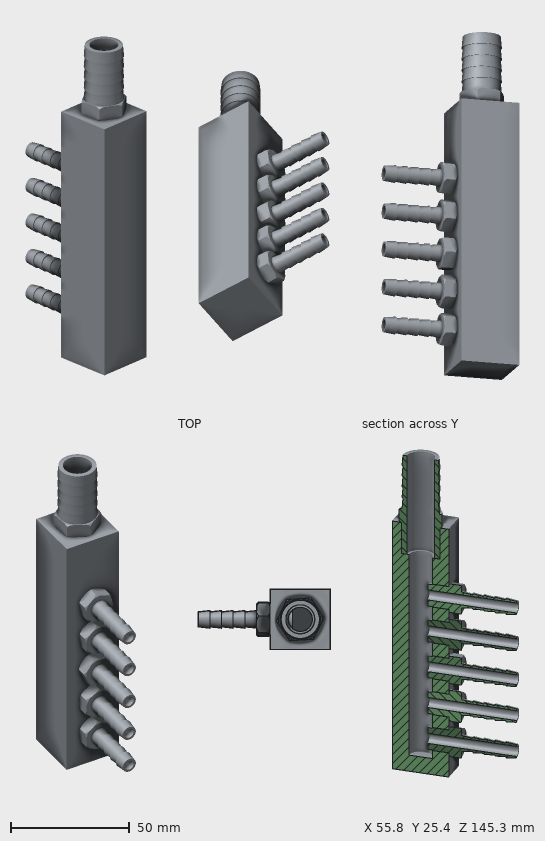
import cadquery as cq
import math

block_width = 25.4
block_height = 114.3
main_bore_radius = 5.08
floor_thickness = block_width / 2 - main_bore_radius

port_count = 5
port_pitch = 16.51
first_port_height = port_pitch

outlet_hex_angles = [5.5, -1.5, 23.0, 8.0, 11.5]
inlet_hex_angle = 3.5

barb_count = 5

outlet_length = 30.35
outlet_hex_flats = 12.7
outlet_hex_height = 5.7
outlet_tip_radius = 3.2
outlet_ridge_radius = 3.75
outlet_bore_radius = 2.2
outlet_shank_radius = 5.15
outlet_shank_length = 9.5

inlet_length = 30.99
inlet_hex_flats = 17.46
inlet_hex_height = 6.3
inlet_tip_radius = 8.05
inlet_ridge_radius = 8.5
inlet_bore_radius = 6.13
inlet_shank_radius = 8.55
inlet_shank_length = 14.3

hex_chamfer_width = 0.8
hex_chamfer_height = 0.8


def disc(radius, bottom, height):
    """Cylinder on the Z axis."""
    return cq.Workplane("XY").workplane(offset=bottom).circle(radius).extrude(height)


def hex_nut(flats, height, angle):
    """Hex on Z = 0 with a corner on +X before turning, corners chamfered at both ends."""
    corner_diameter = flats / math.cos(math.pi / 6)
    prism = cq.Workplane("XY").polygon(6, corner_diameter).extrude(height)
    outer = corner_diameter / 2
    inner = outer - hex_chamfer_width
    envelope = (
        cq.Workplane("XZ")
        .polyline([
            (0, 0),
            (inner, 0),
            (outer, hex_chamfer_height),
            (outer, height - hex_chamfer_height),
            (inner, height),
            (0, height),
        ])
        .close()
        .revolve(360, (0, 0, 0), (0, 1, 0))
    )
    return prism.intersect(envelope).rotate((0, 0, 0), (0, 0, 1), angle)


def hose_barb(tip_radius, ridge_radius, bottom, top):
    """Stack of rings, each tapering from a ridge below to the tip radius above."""
    ring_height = (top - bottom) / barb_count
    points = [(0, bottom)]
    for ring in range(barb_count):
        ring_bottom = bottom + ring * ring_height
        points.append((ridge_radius, ring_bottom))
        points.append((tip_radius, ring_bottom + ring_height))
    points.append((0, top))
    return cq.Workplane("XZ").polyline(points).close().revolve(360, (0, 0, 0), (0, 1, 0))


def fitting(length, flats, hex_height, hex_angle, tip_radius, ridge_radius,
            bore_radius, shank_radius, shank_length):
    """Hose fitting along +Z: hex seated on Z = 0, barb above it, shank below it."""
    solid = hex_nut(flats, hex_height, hex_angle)
    solid = solid.union(hose_barb(tip_radius, ridge_radius, hex_height, length))
    solid = solid.union(disc(shank_radius, -shank_length, shank_length))
    return solid.cut(disc(bore_radius, -shank_length, shank_length + length))


def place_at_port(shape, port):
    """Turn a shape built along +Z to point along -X and seat it at a port."""
    height = first_port_height + port * port_pitch
    return shape.rotate((0, 0, 0), (0, 1, 0), -90).translate((-block_width / 2, 0, height))


def outlet_fitting(port):
    shape = fitting(
        outlet_length, outlet_hex_flats, outlet_hex_height, outlet_hex_angles[port],
        outlet_tip_radius, outlet_ridge_radius, outlet_bore_radius,
        outlet_shank_radius, outlet_shank_length,
    )
    return place_at_port(shape, port)


def inlet_fitting():
    shape = fitting(
        inlet_length, inlet_hex_flats, inlet_hex_height, inlet_hex_angle,
        inlet_tip_radius, inlet_ridge_radius, inlet_bore_radius,
        inlet_shank_radius, inlet_shank_length,
    )
    return shape.translate((0, 0, block_height))


def manifold_block():
    """Square bar with a blind main bore, an inlet hole on top and the outlet ports."""
    block = cq.Workplane("XY").rect(block_width, block_width).extrude(block_height)
    block = block.cut(disc(main_bore_radius, floor_thickness, block_height - floor_thickness))
    block = block.cut(disc(inlet_shank_radius, block_height - inlet_shank_length, inlet_shank_length))
    for port in range(port_count):
        hole = disc(outlet_shank_radius, -outlet_shank_length, outlet_shank_length)
        block = block.cut(place_at_port(hole, port))
    return block


block = manifold_block()
inlet = inlet_fitting()
outlets = [outlet_fitting(port) for port in range(port_count)]

result = cq.Compound.makeCompound([
    block.val(),
    inlet.val(),
    *[outlet.val() for outlet in outlets],
])